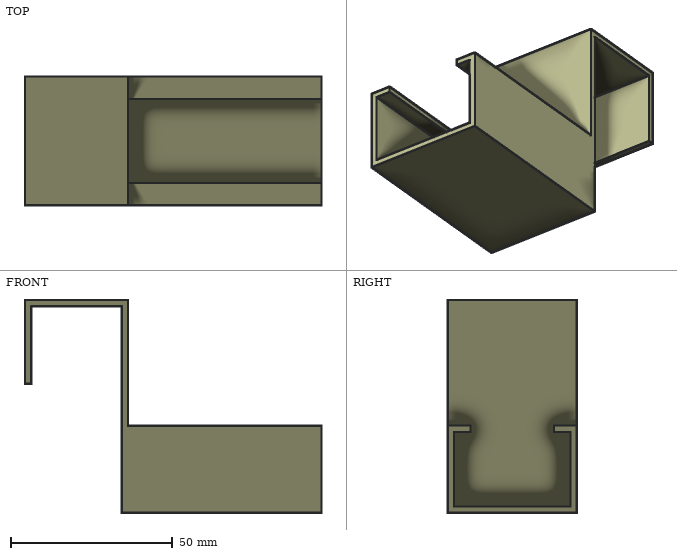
import cadquery as cq

wall = 2.0
width = 40.0
total_height = 66.0
hook_outer_width = 32.0
hook_leg_height = 26.0
channel_length = 62.0
channel_height = 27.0
lip_width = 7.0

plate_x = hook_outer_width - wall
channel_cavity_width = width - 2 * wall
channel_cavity_height = channel_height - 2 * wall
slot_width = width - 2 * lip_width
cavity_length = channel_length - wall


def slab(x, z, length, depth, height):
    """Box starting at x and z, centred on Y."""
    box = cq.Workplane("XY").box(length, depth, height, centered=(False, True, False))
    return box.translate((x, 0, z))


def make_hook():
    """Inverted U whose inner leg runs down to the base as the end plate."""
    leg = slab(0, total_height - hook_leg_height, wall, width, hook_leg_height)
    bridge = slab(0, total_height - wall, hook_outer_width, width, wall)
    plate = slab(plate_x, 0, wall, width, total_height)
    return leg.union(bridge).union(plate)


def make_channel():
    """Lipped C-channel, slotted on top, open at the end away from the plate."""
    body = slab(plate_x, 0, channel_length, width, channel_height)
    cavity = slab(hook_outer_width, wall, cavity_length, channel_cavity_width, channel_cavity_height)
    slot = slab(hook_outer_width, wall, cavity_length, slot_width, channel_height - wall)
    return body.cut(cavity).cut(slot)


result = make_hook().union(make_channel())